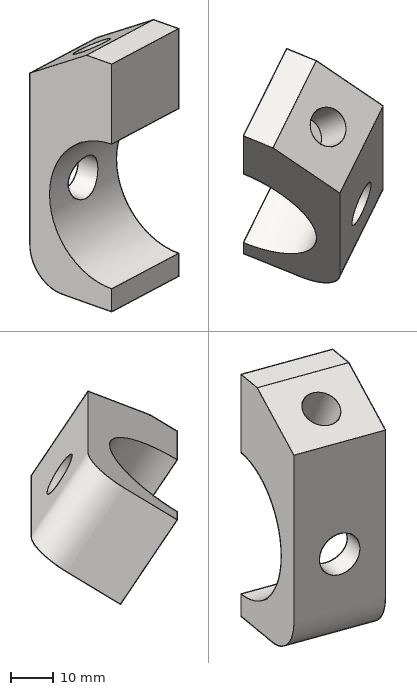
import cadquery as cq
import math

height = 65.0
width = 25.0
thickness = 25.0
slope_angle = 30.0
slope_drop = 10.0
corner_radius = 10.0
bore_radius = 19.0
bore_height = 25.0
cross_hole_diameter = 11.0
slope_hole_diameter = 9.5
slope_hole_depth = 12.7

slope_run = slope_drop / math.tan(math.radians(slope_angle))
mid_y = thickness / 2


def make_body():
    """Block with a sloped top edge and a rounded bottom edge."""
    block = cq.Workplane("XY").box(width, thickness, height, centered=False)
    block = block.edges("<X and <Z").fillet(corner_radius)
    wedge = (
        cq.Workplane("XZ")
        .moveTo(0, height)
        .lineTo(slope_run, height)
        .lineTo(0, height - slope_drop)
        .close()
        .extrude(-thickness)
    )
    return block.cut(wedge)


def make_bore():
    """Half-round seat along Y, centred on the flat +X face."""
    return cq.Workplane("XZ").center(width, bore_height).circle(bore_radius).extrude(-thickness)


def make_cross_hole():
    """Hole along X from the outer wall into the bore."""
    return cq.Workplane("YZ").center(mid_y, bore_height).circle(cross_hole_diameter / 2).extrude(width)


def make_slope_hole():
    """Blind flat-bottomed hole, square to the slope and centred on it."""
    angle = math.radians(slope_angle)
    entry = cq.Plane(
        origin=(slope_run / 2, mid_y, height - slope_drop / 2),
        xDir=(0, 1, 0),
        normal=(math.sin(angle), 0, -math.cos(angle)),
    )
    return cq.Workplane(entry).circle(slope_hole_diameter / 2).extrude(slope_hole_depth)


result = make_body().cut(make_bore()).cut(make_cross_hole()).cut(make_slope_hole())